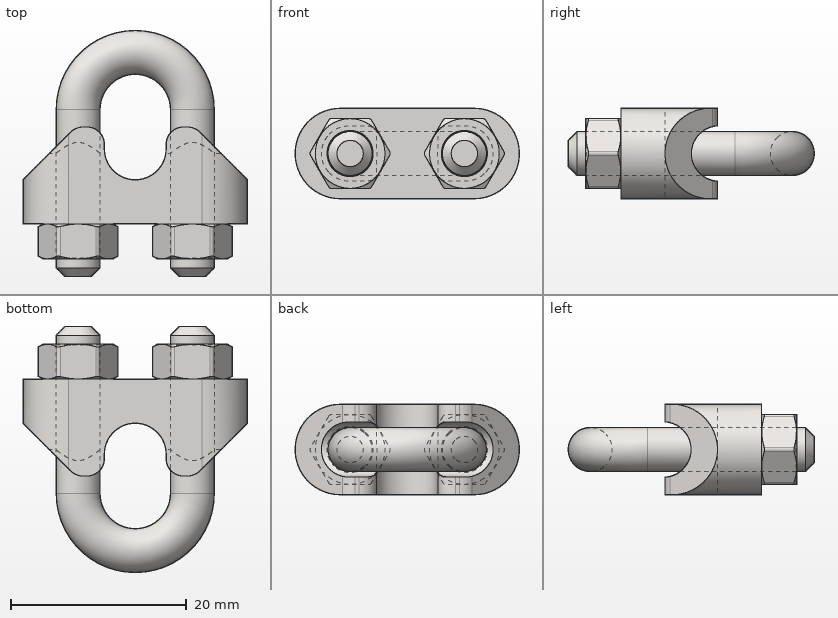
import cadquery as cq
import math

rod_diameter = 5.0
leg_spacing = 13.0
bend_centre_y = 13.0
overall_length = 28.0
tip_chamfer = 1.0

saddle_length = 25.5
saddle_thickness = 10.3
saddle_height = 11.0
shoulder_height = 5.0
ear_radius = 2.0
channel_width = 7.0
channel_floor_y = 5.0
groove_radius = 3.15
groove_floor_y = 8.0

hex_sides = 6
nut_across_flats = 8.0
nut_height = 4.0
nut_corner_radius = 0.5
nut_face_diameter = 7.92
nut_chamfer_angle = 30.0
nut_bore_chamfer = 0.1

rod_radius = rod_diameter / 2
bend_radius = leg_spacing / 2
leg_positions = (-leg_spacing / 2, leg_spacing / 2)
tip_y = bend_centre_y + bend_radius + rod_radius - overall_length


def cylinder_along_y(x, start_y, radius, length):
    """Cylinder that starts at start_y and runs toward +Y."""
    start = cq.Vector(x, start_y, 0)
    return cq.Workplane(cq.Solid.makeCylinder(radius, length, start, cq.Vector(0, 1, 0)))


def make_u_bolt():
    """Two straight legs joined by a half-circle bend, with chamfered tips."""
    path = (
        cq.Workplane("XY")
        .moveTo(-bend_radius, tip_y)
        .lineTo(-bend_radius, bend_centre_y)
        .threePointArc((0, bend_centre_y + bend_radius), (bend_radius, bend_centre_y))
        .lineTo(bend_radius, tip_y)
    )
    rod_section = cq.Workplane("XZ", origin=(-bend_radius, tip_y, 0)).circle(rod_radius)
    return rod_section.sweep(path).faces("<Y").edges().chamfer(tip_chamfer)


def make_profile_plate():
    """XY profile at full thickness: rope channel between two rounded ears with 45 degree outer slopes."""
    half_length = saddle_length / 2
    half_channel = channel_width / 2
    channel_centre_y = channel_floor_y + half_channel
    slope_top_x = half_length - (saddle_height - shoulder_height)
    plate = (
        cq.Workplane("XY")
        .moveTo(-half_length, 0)
        .lineTo(-half_length, shoulder_height)
        .lineTo(-slope_top_x, saddle_height)
        .lineTo(-half_channel, saddle_height)
        .lineTo(-half_channel, channel_centre_y)
        .threePointArc((0, channel_floor_y), (half_channel, channel_centre_y))
        .lineTo(half_channel, saddle_height)
        .lineTo(slope_top_x, saddle_height)
        .lineTo(half_length, shoulder_height)
        .lineTo(half_length, 0)
        .close()
        .extrude(saddle_thickness / 2, both=True)
    )
    return plate.faces(">Y").edges("|Z").fillet(ear_radius)


def make_groove():
    """Cylinder along X that scoops the ears out around the legs."""
    return (
        cq.Workplane("YZ")
        .center(groove_floor_y + groove_radius, 0)
        .circle(groove_radius)
        .extrude(saddle_length / 2, both=True)
    )


def make_saddle():
    """Block with fully rounded ends, cut to the profile, bored for the legs and grooved along X."""
    rounded_block = cq.Workplane("XZ").slot2D(saddle_length, saddle_thickness).extrude(-saddle_height)
    saddle = make_profile_plate().intersect(rounded_block)
    for x in leg_positions:
        saddle = saddle.cut(cylinder_along_y(x, 0, rod_radius, saddle_height))
    return saddle.cut(make_groove())


def make_nut(x):
    """Hex nut below the saddle, chamfered on both faces, with rounded corners."""
    corner_diameter = nut_across_flats / math.cos(math.pi / hex_sides)
    corner_radius = corner_diameter / 2
    face_radius = nut_face_diameter / 2
    chamfer_depth = (corner_radius - face_radius) * math.tan(math.radians(nut_chamfer_angle))
    hexagon = (
        cq.Workplane("XZ")
        .polygon(hex_sides, corner_diameter)
        .extrude(nut_height)
        .edges("|Y")
        .fillet(nut_corner_radius)
    )
    chamfer_envelope = (
        cq.Workplane("XY")
        .lineTo(face_radius, 0)
        .lineTo(corner_radius, -chamfer_depth)
        .lineTo(corner_radius, chamfer_depth - nut_height)
        .lineTo(face_radius, -nut_height)
        .lineTo(0, -nut_height)
        .close()
        .revolve(360, (0, 0, 0), (0, 1, 0))
    )
    nut = hexagon.intersect(chamfer_envelope)
    nut = nut.cut(cylinder_along_y(0, -nut_height, rod_radius, nut_height))
    bore_rim = nut.faces("<Y").edges(cq.selectors.RadiusNthSelector(0))
    nut = bore_rim.chamfer(nut_bore_chamfer)
    return nut.translate((x, 0, 0))


u_bolt = make_u_bolt()
saddle = make_saddle()
nuts = [make_nut(x) for x in leg_positions]

result = cq.Compound.makeCompound([u_bolt.val(), saddle.val(), *[nut.val() for nut in nuts]])